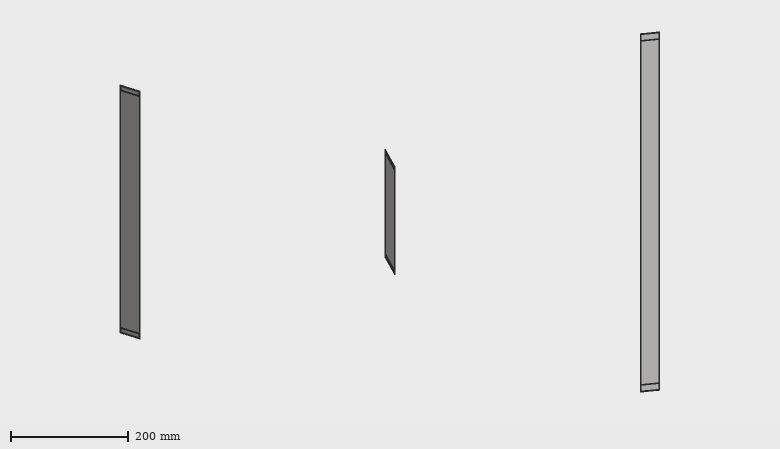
import cadquery as cq

length = 621.5
width = 36.0
thickness = 0.25
tab_length = 12.0
tab_thickness = thickness / 2

body = cq.Workplane("XY").box(width, thickness, length - 2 * tab_length)

core = cq.Workplane("XY").box(width, tab_thickness, length)

result = body.union(core)